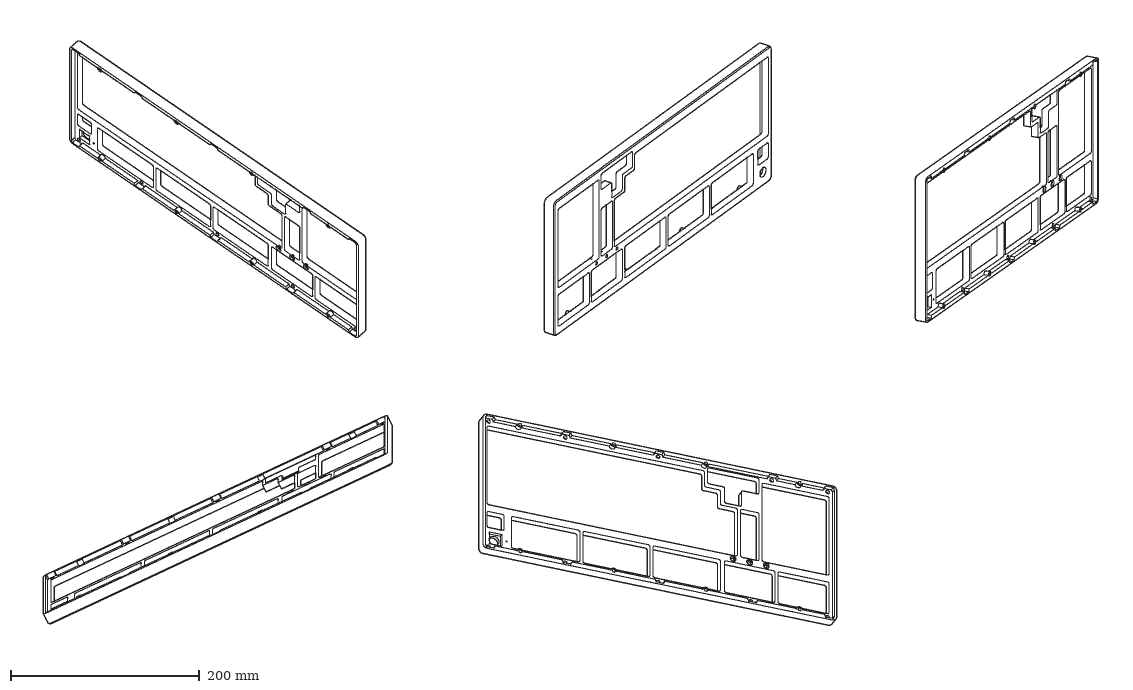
import cadquery as cq
length = 405.0
depth = 13.5
height = 165.0
corner_radius = 5.3
back_chamfer = 1.2
front_chamfer_width = 1.0
front_chamfer_drop = 0.2

recess_depth = 5.3
side_rim = 3.05
long_rim = 5.0
outer_wall = 2.0

window_corner_radius = 2.0
side_edge = 195.5
upper_top = 71.3
upper_bottom = -25.0
lower_top = -33.5
lower_bottom = -72.5
small_window_side = 19.5
lower_window_spans = (
    (-167.5, -89.5),
    (-86.0, -9.5),
    (-5.5, 71.3),
    (76.0, 133.5),
    (137.3, side_edge),
)

step_left = 53.0
step_middle = 71.3
step_right = 90.7
step_high = 52.0
step_low = 33.5
notch_left = 56.5
notch_right = 115.5
notch_top = 76.0
notch_shelf = 56.5
notch_bottom = 37.3
notch_stem_left = 76.0
notch_stem_right = 95.5
slot_left = 94.5
right_window_left = 119.0

screw_z = 77.0
screw_hole_diameter = 4.0
screw_hole_depth = 4.0
screw_relief_radius = 5.45
outer_screw_x = 194.0
inner_screw_x = 106.0
offset_screw_x = 130.0

boss_z = 77.8
boss_diameter = 6.5
boss_hole_diameter = 3.2
boss_hole_depth = 6.5
boss_xs = (-160.0, -52.5, 52.5, 160.0)

bar_hole_xs = (86.0, 105.0, 124.0)
bar_hole_z = -29.0
bar_hole_diameter = 3.2
counterbore_diameter = 6.5
counterbore_depth = 2.0

pocket_x = -186.0
pocket_z = -65.5
pocket_side = 14.0
pocket_depth = 4.0
pocket_hole_diameter = 11.0
pinhole_x = -173.5
pinhole_diameter = 1.3
pinhole_depth = 3.2

front = -depth / 2
back = depth / 2
floor = front + recess_depth


def plane_at(y):
    """Sketch plane at depth y whose sketch runs along +X and +Z; extruding goes toward -Y."""
    return cq.Workplane("XZ", origin=(0, y, 0))


def cylinder(x, z, diameter, y_start, y_end):
    """Round bar along Y from y_start (nearer the front) to y_end."""
    return plane_at(y_end).center(x, z).circle(diameter / 2).extrude(y_end - y_start)


def box(x_left, x_right, z_bottom, z_top, y_start, y_end):
    """Block between two X, Z and Y limits."""
    size = (x_right - x_left, y_end - y_start, z_top - z_bottom)
    return cq.Workplane("XY").box(*size, centered=False).translate((x_left, y_start, z_bottom))


def rectangle(x_left, x_right, z_bottom, z_top):
    """Corner points of a rectangle."""
    return [(x_left, z_bottom), (x_right, z_bottom), (x_right, z_top), (x_left, z_top)]


def window(points):
    """Through cutter with rounded corners on the given X, Z outline."""
    outline = plane_at(back).polyline(points).close().extrude(depth)
    return outline.edges("|Y").fillet(window_corner_radius)


result = box(-length / 2, length / 2, -height / 2, height / 2, front, back)
result = result.edges("|Y").fillet(corner_radius)
result = result.faces(">Y").chamfer(back_chamfer)
result = result.faces("<Y").edges().chamfer(front_chamfer_width, front_chamfer_drop)

top_screw_xs = (-outer_screw_x, -inner_screw_x, 0, offset_screw_x, outer_screw_x)
bottom_screw_xs = (-outer_screw_x, -inner_screw_x, 0, inner_screw_x, outer_screw_x)
screws = [(x, screw_z) for x in top_screw_xs] + [(x, -screw_z) for x in bottom_screw_xs]
recess_x = length / 2 - side_rim
recess_z = height / 2 - long_rim
wall_z = height / 2 - outer_wall
recess = box(-recess_x, recess_x, -recess_z, recess_z, front, floor)
relief_limit = box(-recess_x, recess_x, -wall_z, wall_z, front, floor)
for x, z in screws:
    relief = cylinder(x, z, 2 * screw_relief_radius, front, floor)
    recess = recess.union(relief.intersect(relief_limit))
result = result.cut(recess)

main_window = [
    (-side_edge, upper_bottom),
    (step_right, upper_bottom),
    (step_right, step_low),
    (step_middle, step_low),
    (step_middle, step_high),
    (step_left, step_high),
    (step_left, upper_top),
    (-side_edge, upper_top),
]
notch_window = [
    (notch_left, notch_shelf),
    (notch_stem_left, notch_shelf),
    (notch_stem_left, notch_bottom),
    (notch_stem_right, notch_bottom),
    (notch_stem_right, notch_shelf),
    (notch_right, notch_shelf),
    (notch_right, notch_top),
    (notch_left, notch_top),
]
windows = [
    main_window,
    notch_window,
    rectangle(slot_left, notch_right, upper_bottom, step_low),
    rectangle(right_window_left, side_edge, upper_bottom, upper_top),
    rectangle(-side_edge, -side_edge + small_window_side, lower_top - small_window_side, lower_top),
]
for x_left, x_right in lower_window_spans:
    windows.append(rectangle(x_left, x_right, lower_bottom, lower_top))
for points in windows:
    result = result.cut(window(points))

for x, z in screws:
    result = result.cut(cylinder(x, z, screw_hole_diameter, floor, floor + screw_hole_depth))

for x in boss_xs:
    for z in (boss_z, -boss_z):
        result = result.union(cylinder(x, z, boss_diameter, front, floor))
        result = result.cut(cylinder(x, z, boss_hole_diameter, front, front + boss_hole_depth))

for x in bar_hole_xs:
    result = result.cut(cylinder(x, bar_hole_z, counterbore_diameter, floor, floor + counterbore_depth))
    result = result.cut(cylinder(x, bar_hole_z, bar_hole_diameter, floor, back))

pocket = box(
    pocket_x - pocket_side / 2,
    pocket_x + pocket_side / 2,
    pocket_z - pocket_side / 2,
    pocket_z + pocket_side / 2,
    floor,
    floor + pocket_depth,
)
result = result.cut(pocket)
result = result.cut(cylinder(pocket_x, pocket_z, pocket_hole_diameter, floor, back))
result = result.cut(cylinder(pinhole_x, pocket_z, pinhole_diameter, floor, floor + pinhole_depth))